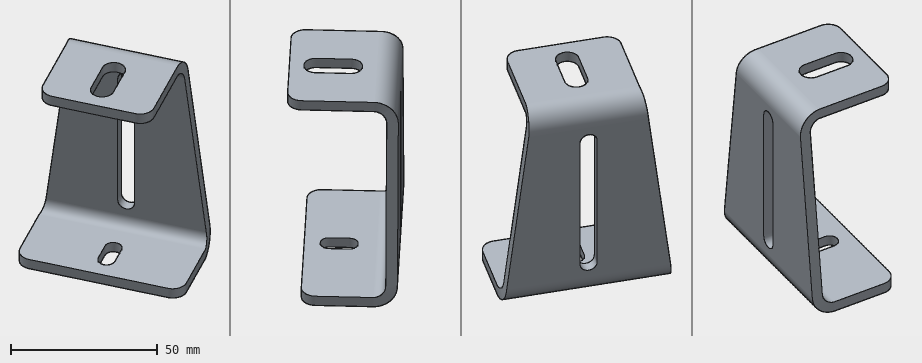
import cadquery as cq
import math

height = 80.0
thickness = 4.0
inner_radius = 4.0
outer_radius = inner_radius + thickness
neutral_axis_ratio = 0.44
corner_radius = 5.0

bottom_width = 60.0
bottom_depth = 33.0
top_width = 40.0
top_depth = 38.0

web_slot_length = 58.0
slot_width = 6.0
bottom_slot_length = 13.0
bottom_slot_offset = 21.0
top_slot_length = 20.0
top_slot_width = 8.0
top_slot_offset = (outer_radius + top_depth) / 2

bend_length = math.pi / 2 * (inner_radius + neutral_axis_ratio * thickness)
web_height = height - 2 * outer_radius
taper = (bottom_width - top_width) / (web_height + 2 * bend_length)
web_bottom_width = bottom_width - taper * bend_length
web_top_width = top_width + taper * bend_length


def make_flange(width, depth, base_z):
    """Flat flange with rounded free corners, starting at the bend line."""
    length = depth - outer_radius
    return (
        cq.Workplane("XY", origin=(0, -outer_radius - length / 2, base_z))
        .rect(width, length)
        .extrude(thickness)
        .edges("|Z and <Y")
        .fillet(corner_radius)
    )


def make_web():
    """Tapered upright plate between the two bend lines."""
    web_top = height - outer_radius
    return (
        cq.Workplane("XZ")
        .polyline([
            (-web_bottom_width / 2, outer_radius),
            (web_bottom_width / 2, outer_radius),
            (web_top_width / 2, web_top),
            (-web_top_width / 2, web_top),
        ])
        .close()
        .extrude(thickness)
    )


def make_bend(flange_width, web_width, axis_z, direction):
    """Quarter bend whose width changes evenly with bend angle.

    direction is -1 for a flange below the bend axis and 1 for one above it.
    """
    steps = 8

    def side_edge(side, radius):
        points = []
        for step in range(steps + 1):
            fraction = step / steps
            angle = fraction * math.pi / 2
            width = flange_width + (web_width - flange_width) * fraction
            points.append(cq.Vector(
                side * width / 2,
                -outer_radius + radius * math.sin(angle),
                axis_z + direction * radius * math.cos(angle),
            ))
        return cq.Edge.makeSpline(points)

    rails = [
        side_edge(-1, inner_radius),
        side_edge(1, inner_radius),
        side_edge(1, outer_radius),
        side_edge(-1, outer_radius),
    ]
    faces = [cq.Face.makeRuledSurface(rails[i - 1], rails[i]) for i in range(len(rails))]
    for end in (0, 1):
        corners = [rail.positionAt(end) for rail in rails]
        faces.append(cq.Face.makeFromWires(cq.Wire.makePolygon(corners, close=True)))
    return cq.Workplane(cq.Solid.makeSolid(cq.Shell.makeShell(faces)).fix())


def make_flange_slot(length, width, offset, base_z):
    """Cutter for a slot through a flange, running along Y."""
    return (
        cq.Workplane("XY", origin=(0, -offset, base_z))
        .slot2D(length, width, 90)
        .extrude(thickness)
    )


def make_web_slot():
    """Cutter for the long upright slot at mid-height of the web."""
    return (
        cq.Workplane("XZ", origin=(0, 0, height / 2))
        .slot2D(web_slot_length, slot_width, 90)
        .extrude(thickness)
    )


top_base = height - thickness

bracket = (
    make_web()
    .union(make_bend(bottom_width, web_bottom_width, outer_radius, -1))
    .union(make_bend(top_width, web_top_width, height - outer_radius, 1))
    .union(make_flange(bottom_width, bottom_depth, 0))
    .union(make_flange(top_width, top_depth, top_base))
    .cut(make_web_slot())
    .cut(make_flange_slot(bottom_slot_length, slot_width, bottom_slot_offset, 0))
    .cut(make_flange_slot(top_slot_length, top_slot_width, top_slot_offset, top_base))
)

result = bracket.solids()